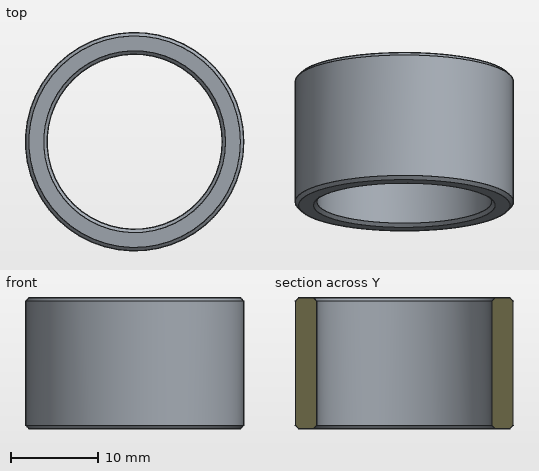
import cadquery as cq

outer_diameter = 25.0
bore_diameter = 20.0
length = 15.0
edge_chamfer = 0.4

sleeve = (
    cq.Workplane("XY")
    .circle(outer_diameter / 2)
    .circle(bore_diameter / 2)
    .extrude(length)
)

result = sleeve.faces("<Z or >Z").edges().chamfer(edge_chamfer)